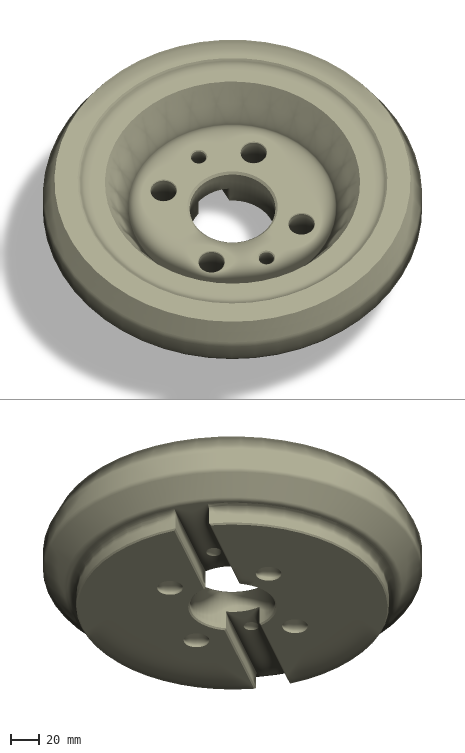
import cadquery as cq
import math

outer_radius = 133.5
total_height = 63.0

rim_top_radius = 125.2
upper_cone_base_z = 47.0
lower_cone_top_z = 30.5
lower_edge_radius = 118.0
upper_rim_fillet = 8.0
lower_rim_fillet = 4.3

foot_radius = 110.0
foot_height = 15.0
foot_root_fillet = 4.3
foot_chamfer = 1.0
slot_width = 24.5

ring_bottom_z = 55.8
ring_top_inner_radius = 109.0
ring_inner_angle = 45.0
ring_foot_fillet = 2.5

boss_radius = 105.7
boss_face_z = 61.0
cup_rim_radius = 89.7
cup_floor_radius = 73.0
cup_floor_z = 32.5
cup_floor_fillet = 1.0

bore_radius = 30.2
bore_chamfer = 1.5
bolt_circle_radius = 50.7
bolt_hole_radius = 9.0
bolt_hole_chamfer = 0.5
pin_hole_radius = 5.3
pin_hole_chamfer = 0.8

upper_cone_slope = (outer_radius - rim_top_radius) / (total_height - upper_cone_base_z)
ring_bottom_outer_radius = rim_top_radius + upper_cone_slope * (total_height - ring_bottom_z)
ring_inner_slope = math.tan(math.radians(ring_inner_angle))
ring_foot_radius = ring_top_inner_radius - ring_inner_slope * (total_height - boss_face_z)
bolt_offset = bolt_circle_radius / math.sqrt(2)


def corner_arc(before, corner, after, radius):
    """Start, middle and end of the arc that rounds a corner between two straight lines."""
    corner_v = cq.Vector(*corner)
    to_before = (cq.Vector(*before) - corner_v).normalized()
    to_after = (cq.Vector(*after) - corner_v).normalized()
    half_angle = to_before.getAngle(to_after) / 2
    setback = radius / math.tan(half_angle)
    middle_distance = radius / math.sin(half_angle) - radius
    start = corner_v + to_before * setback
    middle = corner_v + (to_before + to_after).normalized() * middle_distance
    end = corner_v + to_after * setback
    return [(point.x, point.y) for point in (start, middle, end)]


def revolve_rounded(corners):
    """Solid of revolution about Z from (radius, height, fillet radius) corners; 0 leaves a sharp corner."""
    points = [(radius, height) for radius, height, _ in corners]
    section = cq.Workplane("XZ").moveTo(*points[0])
    for i in range(1, len(corners)):
        fillet = corners[i][2]
        if fillet > 0:
            next_point = points[(i + 1) % len(points)]
            start, middle, end = corner_arc(points[i - 1], points[i], next_point, fillet)
            section = section.lineTo(*start).threePointArc(middle, end)
        else:
            section = section.lineTo(*points[i])
    return section.close().revolve(360, (0, 0), (0, 1))


def make_hub_blank():
    """Foot, rim, ring seat, face and cup as one turned shape, with the bore."""
    return revolve_rounded([
        (bore_radius, 0, 0),
        (foot_radius, 0, 0),
        (foot_radius, foot_height, foot_root_fillet),
        (lower_edge_radius, foot_height, lower_rim_fillet),
        (outer_radius, lower_cone_top_z, lower_rim_fillet),
        (outer_radius, upper_cone_base_z, upper_rim_fillet),
        (ring_bottom_outer_radius, ring_bottom_z, 0),
        (boss_radius, ring_bottom_z, 0),
        (boss_radius, boss_face_z, 0),
        (cup_rim_radius, boss_face_z, 0),
        (cup_floor_radius, cup_floor_z, cup_floor_fillet),
        (bore_radius + bore_chamfer, cup_floor_z, 0),
        (bore_radius, cup_floor_z - bore_chamfer, 0),
    ])


def cut_slot(hub):
    """Cut the slot along X through the foot, and chamfer the outline of the two feet left."""
    slot = cq.Workplane("XY").box(2 * outer_radius, slot_width, foot_height, centered=(True, True, False))
    return hub.cut(slot).faces("<Z").chamfer(foot_chamfer)


def drill(hub, points, radius, chamfer):
    """Drill through holes in the cup floor, each with a chamfered mouth."""
    drill_section = [
        (0, 0),
        (radius, 0),
        (radius, cup_floor_z - chamfer),
        (radius + chamfer, cup_floor_z),
        (0, cup_floor_z),
    ]
    cutter = cq.Workplane("XZ").polyline(drill_section).close().revolve(360, (0, 0), (0, 1))
    for x, y in points:
        hub = hub.cut(cutter.translate((x, y, 0)))
    return hub


def make_hub():
    """Hub with its slotted foot and the holes of the cup floor."""
    hub = cut_slot(make_hub_blank())
    bolt_points = [(x, y) for x in (-bolt_offset, bolt_offset) for y in (-bolt_offset, bolt_offset)]
    pin_points = [(-bolt_circle_radius, 0), (bolt_circle_radius, 0)]
    hub = drill(hub, bolt_points, bolt_hole_radius, bolt_hole_chamfer)
    return drill(hub, pin_points, pin_hole_radius, pin_hole_chamfer)


def make_abrasive_ring():
    """Ring whose outside carries on the upper cone of the rim."""
    return revolve_rounded([
        (boss_radius, ring_bottom_z, 0),
        (ring_bottom_outer_radius, ring_bottom_z, 0),
        (rim_top_radius, total_height, 0),
        (ring_top_inner_radius, total_height, 0),
        (ring_foot_radius, boss_face_z, ring_foot_fillet),
        (boss_radius, boss_face_z, 0),
    ])


hub = make_hub()
abrasive_ring = make_abrasive_ring()

result = cq.Compound.makeCompound([hub.val(), abrasive_ring.val()])